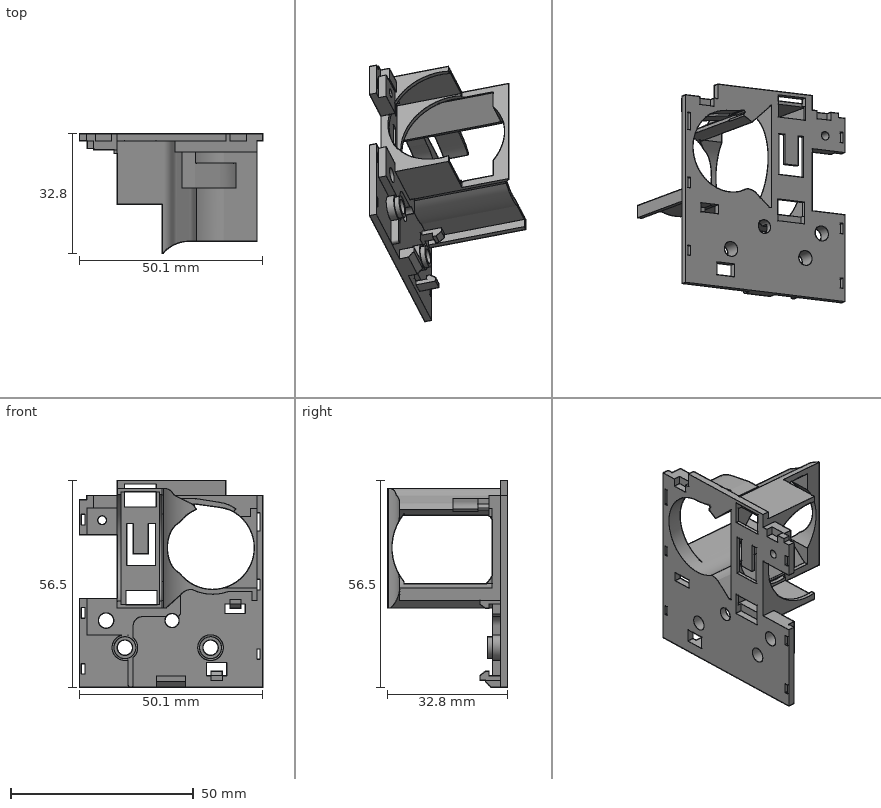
import cadquery as cq
import math


width = 50.15
height = 56.55
plate_depth = 2.0
pad_depth = 4.1
shoulder_top = 52.5
bar_right = 40.05
left_gap = (24.3, 41.7)
strip_right = 2.15
strip_left = 48.6

box_left = 10.3
box_right = 22.6
box_bottom = 21.65
box_top = 54.4
box_depth = 19.35
box_shell = 0.95
box_left_wall = 1.15
box_right_wall = 0.75
box_floor = 0.95

side_wall = 0.45
body_depth = 29.45
flare_end = 30.0
flare_radius = 9.45
flange_start = 28.3
total_depth = 32.75

bore_x = 36.4
bore_z = 38.15
bore_radius = 11.35
trough_radius = 12.7
cross_radius = 14.75
cross_depth = 16.8
cross_half_height = 14.35

web_edge = (31.35, 49.65)
web_tip = (32.45, 48.05)

tongue_bend = 31.7
tongue_bottom = 50.1
tongue_under = (38.45, 49.15)
tongue_back = 8.1

sheet_top = 27.2
sheet_bottom = 26.25
tab_width = 1.4
tab_bottom = 23.75

rail_left = 26.1
rail_depth = 5.1
rail_bottom = 46.65
rail_step_left = 46.8
rail_step_bottom = 48.85
frame_depth = 4.25


def block(x_span, z_span, depth, start=0.0):
    """Box between two X and two Z limits, from one depth to another."""
    x0, x1 = x_span
    z0, z1 = z_span
    corner = (x0, -depth, z0)
    return cq.Workplane("XY").box(x1 - x0, depth - start, z1 - z0, centered=False).translate(corner)


def rod(x, z, diameter, depth):
    """Cylinder along Y, from the back face to a depth."""
    return cq.Workplane("XZ", origin=(x, 0, z)).circle(diameter / 2).extrude(depth)


def side_profile(x_span, points):
    """Outline of (depth, z) points swept along X."""
    x0, x1 = x_span
    outline = [(-depth, z) for depth, z in points]
    return cq.Workplane("YZ", origin=(x0, 0, 0)).polyline(outline).close().extrude(x1 - x0)


def circle_z(x, radius, side):
    """Height of a circle about the bore axis at x, above (+1) or below (-1) the axis."""
    return bore_z + side * math.sqrt(radius**2 - (x - bore_x) ** 2)


def flare_y(x):
    """Y of the flared front at x."""
    return -body_depth - flare_radius + math.sqrt(flare_radius**2 - (flare_end - x) ** 2)


def make_plate():
    notch_depth = 2.25
    corner_step = (2.0, 51.3)
    plate = block((0, width), (0, shoulder_top), plate_depth)
    plate = plate.union(block((box_left, bar_right), (shoulder_top, height), plate_depth))
    plate = plate.cut(block((0, box_left), left_gap, plate_depth))
    plate = plate.cut(block((0, corner_step[0]), (corner_step[1], height), plate_depth))
    for notch in ((4.45, 8.75), (41.15, 45.65)):
        plate = plate.cut(block(notch, (shoulder_top - notch_depth, shoulder_top), plate_depth))
    return plate


def make_pads():
    upper_split = 49.0
    upper_pad = block((strip_right, box_left), (left_gap[1], upper_split), pad_depth, plate_depth)
    cap_left = 3.9
    cap_depth = 4.45
    cap = block((cap_left, box_left), (upper_split, shoulder_top), cap_depth, plate_depth)

    pad_bottom = 14.25
    pad_edge = 14.7
    pad_shelf = 19.35
    pad_corner = 2.55
    pad_right = 27.65
    pad_top = 25.3
    clip = 0.7
    blend = pad_corner * (1 - math.sqrt(0.5))
    lower_pad = (
        cq.Workplane("XZ")
        .moveTo(strip_right, pad_bottom)
        .lineTo(pad_edge, pad_bottom)
        .lineTo(pad_edge, pad_shelf - pad_corner)
        .threePointArc((pad_edge + blend, pad_shelf - blend), (pad_edge + pad_corner, pad_shelf))
        .lineTo(pad_right - clip, pad_shelf)
        .lineTo(pad_right, pad_shelf + clip)
        .lineTo(pad_right, pad_top)
        .lineTo(box_right, box_bottom)
        .lineTo(box_left, box_bottom)
        .lineTo(box_left, left_gap[0])
        .lineTo(strip_right, left_gap[0])
        .close()
        .extrude(pad_depth)
    )

    rib_width = 1.35
    rib = block((pad_edge - rib_width, pad_edge), (0, pad_bottom), pad_depth)
    rib = rib.edges("|Y and <Z").fillet(0.45 * rib_width)
    return upper_pad.union(cap).union(lower_pad).union(rib)


def make_box_cavity(back):
    return block(
        (box_left + box_left_wall, box_right - box_right_wall),
        (box_bottom + box_shell, box_top - box_shell),
        box_depth,
        back,
    )


def make_box():
    return block((box_left, box_right), (box_bottom, box_top), box_depth).cut(make_box_cavity(0))


def make_body():
    trough_left = 30.75
    trough_right = bore_x + math.sqrt(trough_radius**2 - (bore_z - sheet_bottom) ** 2)
    outline = (
        cq.Workplane("XZ")
        .moveTo(box_right, box_top)
        .lineTo(23.0, box_top)
        .threePointArc((24.6, 54.0), (25.5, 53.15))
        .threePointArc((26.0, 52.55), (26.7, 52.15))
        .lineTo(30.15, 50.45)
        .threePointArc((30.8, 50.1), web_edge)
        .lineTo(*web_tip)
        .lineTo(bore_x, bore_z)
        .lineTo(bore_x, sheet_top)
        .lineTo(strip_left, sheet_top)
        .lineTo(strip_left, tab_bottom)
        .lineTo(strip_left - tab_width, tab_bottom)
        .lineTo(strip_left - tab_width, sheet_bottom)
        .lineTo(trough_right, sheet_bottom)
        .threePointArc(
            (bore_x, bore_z - trough_radius),
            (trough_left, circle_z(trough_left, trough_radius, -1)),
        )
        .threePointArc((29.2, 26.45), (27.65, 25.3))
        .lineTo(23.65, box_bottom)
        .lineTo(box_right, box_bottom)
        .close()
    )
    body = outline.extrude(total_depth)

    wall_end = box_right + 0.4
    mid_x = 26.0
    flare_back = -total_depth - flare_radius
    flare = (
        cq.Workplane("XY")
        .moveTo(flare_end, -body_depth)
        .lineTo(width, -body_depth)
        .lineTo(width, flare_back)
        .lineTo(wall_end, flare_back)
        .lineTo(wall_end, flare_y(wall_end))
        .threePointArc((mid_x, flare_y(mid_x)), (flare_end, -body_depth))
        .close()
        .extrude(height)
    )
    return body.cut(flare)


def make_tunnel():
    left = box_right + side_wall
    ledge = 0.7
    return (
        cq.Workplane("XZ")
        .moveTo(left, bore_z - cross_half_height)
        .lineTo(left + ledge, bore_z - cross_half_height)
        .lineTo(28.3, 27.65)
        .threePointArc((29.6, 28.15), (31.0, 28.35))
        .lineTo(bore_x, bore_z)
        .lineTo(29.95, 46.35)
        .lineTo(left, bore_z + cross_half_height)
        .close()
        .extrude(flange_start)
    )


def make_tongue_clearance():
    points = [web_edge, (tongue_bend, tongue_bottom), tongue_under, (bore_x, bore_z), web_tip]
    clearance = cq.Workplane("XZ").polyline(points).close().extrude(rail_depth)
    tip_cut = block((tongue_bend, web_tip[0]), (web_tip[1], tongue_bottom), tongue_back)
    return clearance.union(tip_cut)


def make_sheet_rounding():
    start = 39.0
    end = 39.65
    bulge = 0.01
    clear = sheet_top + 0.3
    start_z = circle_z(start, bore_radius, -1)
    middle = ((start + end) / 2, (start_z + sheet_top) / 2 + bulge)
    return (
        cq.Workplane("XZ", origin=(0, -frame_depth, 0))
        .moveTo(start, start_z)
        .threePointArc(middle, (end, sheet_top))
        .lineTo(end, clear)
        .lineTo(start, clear)
        .close()
        .extrude(total_depth - frame_depth)
    )


def make_cross_opening():
    wall_face = box_right + side_wall
    axis_start = (box_left, -cross_depth, bore_z)
    cylinder = cq.Workplane("YZ", origin=axis_start).circle(cross_radius).extrude(flare_end - box_left)
    z_span = (bore_z - cross_half_height, bore_z + cross_half_height)
    walls = block((box_left, wall_face), (0, height), total_depth)
    flange = block((box_left, flare_end), (0, height), total_depth, flange_start)
    window = block((box_left, wall_face), z_span, flange_start, cross_depth)
    return cylinder.intersect(walls), cylinder.intersect(flange), window


def make_rail():
    rail = block((rail_left, rail_step_left), (rail_bottom, shoulder_top), rail_depth, plate_depth)
    end_z = (rail_step_bottom, shoulder_top)
    rail_end = block((rail_step_left, strip_left), end_z, rail_depth, plate_depth)
    frame = block((box_right, strip_left), (sheet_top, shoulder_top), frame_depth, plate_depth)
    return rail.union(rail_end).union(frame)


def make_tongue():
    root_x = 28.0
    top_z = 51.65
    front = 14.95
    root = block((root_x, tongue_bend), (tongue_bottom, top_z), front)
    arm = (
        cq.Workplane("XZ", origin=(0, -tongue_back, 0))
        .moveTo(tongue_bend, top_z)
        .lineTo(38.45, 50.55)
        .threePointArc((40.7, 49.95), (42.75, 48.8))
        .lineTo(42.15, 48.0)
        .threePointArc((40.6, 48.65), tongue_under)
        .lineTo(tongue_bend, tongue_bottom)
        .close()
        .extrude(front - tongue_back)
    )
    return root.union(arm)


boss_base = 7.0
boss_neck = 6.0
boss_hole = 4.1
boss_depth = 5.5
boss_places = [(12.45, 10.85), (35.85, 10.85)]


def make_boss(x, z):
    base = rod(x, z, boss_base, pad_depth)
    neck = rod(x, z, boss_neck, boss_depth)
    return base.union(neck)


lower_hook_window = 3.2
upper_hook_window = 22.8


def make_hook(x_span, window_edge, direction):
    """Hook lying against a window edge, with its nose pointing up (+1) or down (-1)."""
    stem = 1.3
    nose = 1.2
    nose_back = 5.05
    nose_flat = 6.05
    reach = 7.6
    points = [
        (0, -stem),
        (reach, -stem),
        (reach, 0),
        (nose_flat, nose),
        (nose_back, nose),
        (nose_back, 0),
        (0, 0),
    ]
    return side_profile(x_span, [(depth, window_edge + direction * z) for depth, z in points])


def make_stop():
    x_span = (21.05, 29.05)
    reach = 6.05
    stop_height = 3.1
    bevel_depth = 1.5
    bevel_height = 1.6
    points = [
        (0, 0),
        (reach - bevel_depth, 0),
        (reach, bevel_height),
        (reach, stop_height),
        (0, stop_height),
    ]
    return side_profile(x_span, points)


def make_plate_openings():
    openings = [
        block((12.4, 21.0), (49.35, 55.6), plate_depth),
        block((12.8, 21.15), (20.35, 26.45), plate_depth),
        block((39.8, 45.3), (20.25, upper_hook_window), plate_depth),
        block((34.8, 40.25), (lower_hook_window, 6.8), plate_depth),
    ]
    for z_span in ((3.7, 6.45), (18.95, 21.85), (44.4, 47.3)):
        openings.append(block((0.55, 1.45), z_span, plate_depth))
    for z_span in ((7.75, 10.45), (26.65, 29.5), (42.8, 47.65)):
        openings.append(block((strip_left, 49.35), z_span, plate_depth))

    slot_top = 44.8
    slot = block((13.0, 20.75), (33.35, slot_top), plate_depth)
    finger = block((14.7, 18.85), (36.5, slot_top), plate_depth)
    openings.append(slot.cut(finger))

    openings.append(make_box_cavity(box_floor))
    return openings


def make_round_holes():
    holes = [(x, z, boss_hole) for x, z in boss_places]
    holes += [(7.3, 18.25, 4.1), (25.35, 18.25, 3.8), (6.2, 45.7, 2.3)]
    return [rod(x, z, diameter, total_depth) for x, z, diameter in holes]


result = make_plate()
result = result.union(make_pads())
result = result.union(make_rail()).union(make_box()).union(make_body())
for opening in make_plate_openings():
    result = result.cut(opening)
bore = rod(bore_x, bore_z, 2 * bore_radius, total_depth)
result = result.cut(bore).cut(make_tunnel())
result = result.cut(make_tongue_clearance()).cut(make_sheet_rounding())
for opening in make_cross_opening():
    result = result.cut(opening)
result = result.union(make_tongue())
for boss_x, boss_z in boss_places:
    result = result.union(make_boss(boss_x, boss_z))
result = result.union(make_hook((35.95, 39.1), lower_hook_window, 1))
result = result.union(make_hook((41.15, 44.1), upper_hook_window, -1))
result = result.union(make_stop())
for hole in make_round_holes():
    result = result.cut(hole)